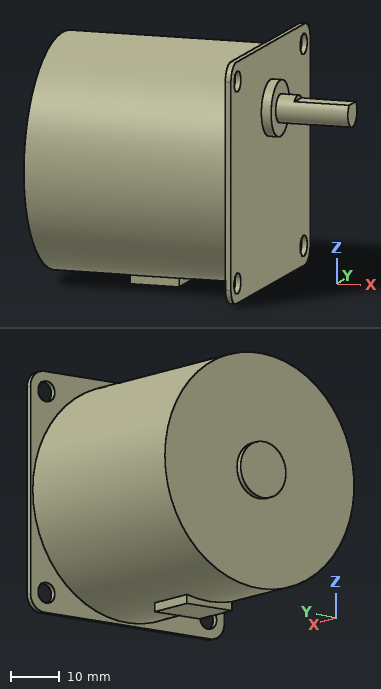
import cadquery as cq

total_length = 64.2
total_height = 51.2

rear_boss_length = 1.2
body_length = 44.0
flange_thickness = 1.2
front_boss_length = 2.1
flat_length = 11.9

body_diameter = 49.5
boss_diameter = 11.8
shaft_diameter = 6.0
shaft_offset = 11.75
flat_height = 5.0

flange_side = 50.65
flange_corner_radius = 3.5
hole_diameter = 4.3
hole_spacing = 42.3

terminal_length = 10.65
terminal_width = 11.8
terminal_depth = total_height - flange_side / 2

body_start = rear_boss_length
flange_start = body_start + body_length
flange_end = flange_start + flange_thickness
front_boss_end = flange_end + front_boss_length
terminal_center = body_start + body_length / 2


def x_cylinder(start, end, diameter, height=0.0):
    """Cylinder along X between two stations, with its axis at the given Z."""
    return (
        cq.Workplane("YZ", origin=(start, 0, height))
        .circle(diameter / 2)
        .extrude(end - start)
    )


def mounting_flange():
    """Square plate with rounded corners and a hole near each corner."""
    return (
        cq.Workplane("YZ", origin=(flange_start, 0, 0))
        .rect(flange_side, flange_side)
        .extrude(flange_thickness)
        .edges("|X")
        .fillet(flange_corner_radius)
        .faces(">X")
        .workplane(centerOption="CenterOfBoundBox")
        .rect(hole_spacing, hole_spacing, forConstruction=True)
        .vertices()
        .hole(hole_diameter)
    )


def output_shaft():
    """Round shaft with a flat on its top side at the free end."""
    shaft = x_cylinder(flange_end, total_length, shaft_diameter, shaft_offset)
    flat_z = shaft_offset - shaft_diameter / 2 + flat_height
    flat_cutter = cq.Workplane("XY", origin=(total_length - flat_length, 0, flat_z)).box(
        flat_length, shaft_diameter, shaft_diameter, centered=(False, True, False)
    )
    return shaft.cut(flat_cutter)


def terminal_block():
    """Block standing out below the housing, rooted inside it."""
    return cq.Workplane("XY", origin=(terminal_center, 0, -terminal_depth)).box(
        terminal_length, terminal_width, terminal_depth, centered=(True, True, False)
    )


rear_boss = x_cylinder(0, body_start, boss_diameter)
body = x_cylinder(body_start, flange_start, body_diameter)
front_boss = x_cylinder(flange_end, front_boss_end, boss_diameter, shaft_offset)

result = (
    body.union(rear_boss)
    .union(mounting_flange())
    .union(front_boss)
    .union(output_shaft())
    .union(terminal_block())
)